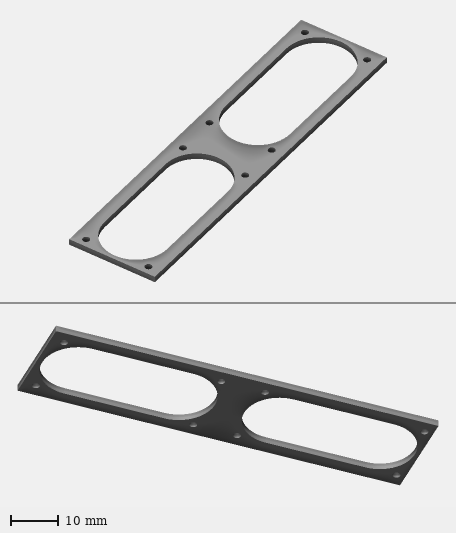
import cadquery as cq

PLATE_WIDTH = 22.0
PLATE_LENGTH = 87.5
PLATE_THICKNESS = 1.5

HOLE_DIAMETER = 1.7
HOLE_SPACING_X = 16.0

UPPER_WINDOW_WIDTH = 16.5
UPPER_WINDOW_LENGTH = 39.5
UPPER_WINDOW_Y = 22.75
UPPER_HOLE_SPACING_Y = 36.0

LOWER_WINDOW_WIDTH = 16.0
LOWER_WINDOW_LENGTH = 39.0
LOWER_WINDOW_Y = -23.25
LOWER_HOLE_CENTER_Y = -23.5
LOWER_HOLE_SPACING_Y = 36.5


def make_plate():
    return cq.Workplane("XY").box(
        PLATE_WIDTH, PLATE_LENGTH, PLATE_THICKNESS, centered=(True, True, False)
    )


def window_cutter(width, length, center_y):
    """Round-ended window with its long axis along Y."""
    return (
        cq.Workplane("XY")
        .center(0, center_y)
        .slot2D(length, width, angle=90)
        .extrude(PLATE_THICKNESS)
    )


def screw_hole_cutter(center_y, spacing_y):
    """Four through holes at the corners of a rectangle."""
    return (
        cq.Workplane("XY")
        .center(0, center_y)
        .rect(HOLE_SPACING_X, spacing_y, forConstruction=True)
        .vertices()
        .circle(HOLE_DIAMETER / 2)
        .extrude(PLATE_THICKNESS)
    )


result = (
    make_plate()
    .cut(window_cutter(UPPER_WINDOW_WIDTH, UPPER_WINDOW_LENGTH, UPPER_WINDOW_Y))
    .cut(window_cutter(LOWER_WINDOW_WIDTH, LOWER_WINDOW_LENGTH, LOWER_WINDOW_Y))
    .cut(screw_hole_cutter(UPPER_WINDOW_Y, UPPER_HOLE_SPACING_Y))
    .cut(screw_hole_cutter(LOWER_HOLE_CENTER_Y, LOWER_HOLE_SPACING_Y))
)